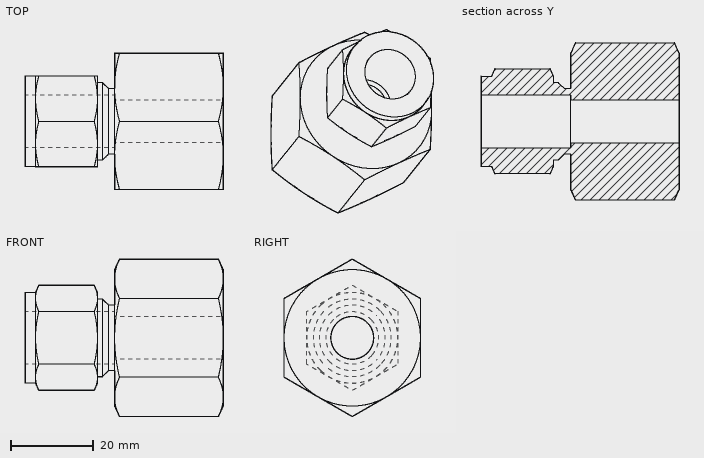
import cadquery as cq
import math

TOTAL_LENGTH = 48.3

COLLAR_END = 2.5
NUT_END = 17.65
RING_END = 18.8
CONE_END = 20.35
BODY_START = 21.8

NUT_FLATS = 22.2
BODY_FLATS = 33.3
COLLAR_DIAMETER = 22.1
RING_DIAMETER = 19.0
NECK_DIAMETER = 16.05

HEX_CHAMFER_ANGLE = 25.0

SOCKET_DIAMETER = 12.8
SOCKET_DEPTH = BODY_START
BORE_DIAMETER = 10.4


def cylinder(start, end, diameter):
    """Round bar along X between two positions."""
    return cq.Workplane("YZ", origin=(start, 0, 0)).circle(diameter / 2).extrude(end - start)


def revolve_profile(points):
    """Turn a closed (x, radius) outline around the X axis."""
    return cq.Workplane("XY").polyline(points).close().revolve(360, (0, 0, 0), (1, 0, 0))


def chamfered_hex(start, end, flats):
    """Hexagonal bar with corners up and down, its corners cut back by a cone at each end."""
    flat_radius = flats / 2
    corner_radius = flat_radius / math.cos(math.pi / 6)
    chamfer_length = (corner_radius - flat_radius) * math.tan(math.radians(HEX_CHAMFER_ANGLE))
    prism = (
        cq.Workplane("YZ", origin=(start, 0, 0))
        .transformed(rotate=(0, 0, 90))
        .polygon(6, 2 * corner_radius)
        .extrude(end - start)
    )
    envelope = revolve_profile([
        (start, 0),
        (start, flat_radius),
        (start + chamfer_length, corner_radius),
        (end - chamfer_length, corner_radius),
        (end, flat_radius),
        (end, 0),
    ])
    return prism.intersect(envelope)


def stepped_neck():
    """Ring behind the nut, tapering down to the neck that joins the body."""
    ring_radius = RING_DIAMETER / 2
    neck_radius = NECK_DIAMETER / 2
    return revolve_profile([
        (NUT_END, 0),
        (NUT_END, ring_radius),
        (RING_END, ring_radius),
        (CONE_END, neck_radius),
        (BODY_START, neck_radius),
        (BODY_START, 0),
    ])


collar = cylinder(0, COLLAR_END, COLLAR_DIAMETER)
nut = chamfered_hex(COLLAR_END, NUT_END, NUT_FLATS)
body = chamfered_hex(BODY_START, TOTAL_LENGTH, BODY_FLATS)
outside = collar.union(nut).union(stepped_neck()).union(body)

socket = cylinder(0, SOCKET_DEPTH, SOCKET_DIAMETER)
bore = cylinder(0, TOTAL_LENGTH, BORE_DIAMETER)
result = outside.cut(socket).cut(bore)